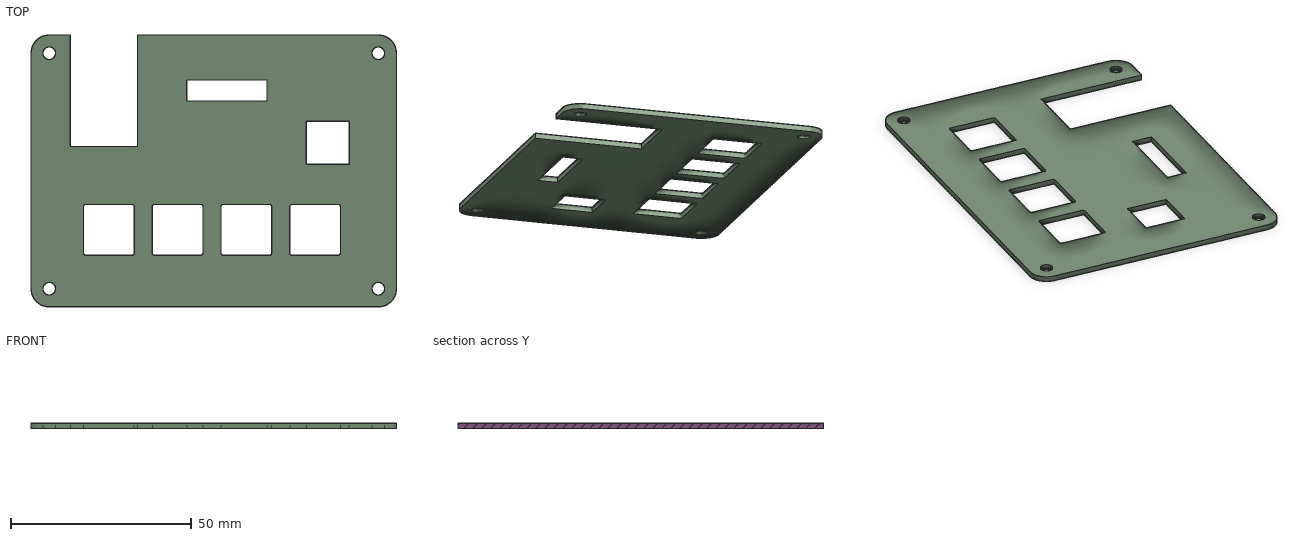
import cadquery as cq

plate_length = 101.4
plate_width = 75.4
plate_thickness = 1.5
corner_radius = 5.1

screw_hole_diameter = 3.4
screw_spacing_x = plate_length - 2 * corner_radius
screw_spacing_y = plate_width - 2 * corner_radius

notch_width = 18.6
notch_depth = 30.9
notch_from_left_edge = 11.0

switch_count = 4
switch_size = 14.0
switch_corner_radius = 0.5
switch_pitch = 19.1
switch_row_center_x = -0.5
switch_row_center_y = -16.3

window_length = 22.2
window_height = 5.8
window_center = (3.7, 22.3)

square_size = 11.9
square_center = (31.6, 7.8)


def rectangular_cutter(length, width, center):
    """Rectangular block through the full plate thickness."""
    return cq.Workplane("XY").center(*center).rect(length, width).extrude(plate_thickness)


def make_plate():
    """Flat plate with rounded corners and a screw hole in each corner."""
    plate = cq.Workplane("XY").rect(plate_length, plate_width).extrude(plate_thickness)
    plate = plate.edges("|Z").fillet(corner_radius)
    return (
        plate.faces(">Z")
        .workplane(origin=(0, 0, plate_thickness))
        .rect(screw_spacing_x, screw_spacing_y, forConstruction=True)
        .vertices()
        .hole(screw_hole_diameter)
    )


def notch_cutter():
    """Block that opens the notch from the +Y edge inward."""
    center_x = -plate_length / 2 + notch_from_left_edge + notch_width / 2
    center_y = plate_width / 2 - notch_depth / 2
    return rectangular_cutter(notch_width, notch_depth, (center_x, center_y))


def switch_cutter(index):
    """Square block with slightly rounded corners for one switch of the row."""
    offset_x = (index - (switch_count - 1) / 2) * switch_pitch
    center = (switch_row_center_x + offset_x, switch_row_center_y)
    block = rectangular_cutter(switch_size, switch_size, center)
    return block.edges("|Z").fillet(switch_corner_radius)


result = make_plate()
result = result.cut(notch_cutter())
result = result.cut(rectangular_cutter(window_length, window_height, window_center))
result = result.cut(rectangular_cutter(square_size, square_size, square_center))
for switch_index in range(switch_count):
    result = result.cut(switch_cutter(switch_index))